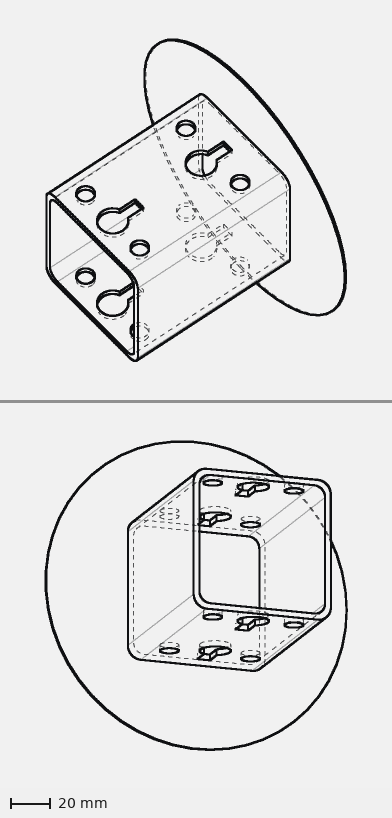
import cadquery as cq

plate_diameter = 160.7
plate_thickness = 1.0

tube_length = 98.5
tube_width = 73.3
wall = 3.0
outer_corner_radius = 6.9
inner_corner_radius = 5.8

front_row_y = 13.3
rear_row_y = 78.2
round_hole_diameter = 9.5
round_hole_spacing = 43.4
keyhole_pitch = 57.2
keyhole_diameter = 15.7
keyhole_slot_width = 6.7
keyhole_reach = 17.2


def rounded_square_bar(width, corner_radius):
    """Bar along Y with rounded lengthwise edges."""
    bar = cq.Workplane("XZ").rect(width, width).extrude(-tube_length)
    return bar.edges("|Y").fillet(corner_radius)


def vertical_cutter(sketch):
    """Extrude a closed XY outline through both horizontal walls."""
    return sketch.extrude(tube_width, both=True)


def keyhole_cutter(y):
    """Round opening with a narrow slot pointing toward the plate."""
    opening = vertical_cutter(cq.Workplane("XY").center(0, y).circle(keyhole_diameter / 2))
    slot_outline = (
        cq.Workplane("XY")
        .center(0, y + keyhole_reach / 2)
        .rect(keyhole_slot_width, keyhole_reach)
    )
    return opening.union(vertical_cutter(slot_outline))


tube = rounded_square_bar(tube_width, outer_corner_radius).cut(
    rounded_square_bar(tube_width - 2 * wall, inner_corner_radius)
)

round_hole_places = [
    (side * round_hole_spacing / 2, y)
    for side in (-1, 1)
    for y in (front_row_y, rear_row_y)
]
tube = tube.cut(
    vertical_cutter(
        cq.Workplane("XY").pushPoints(round_hole_places).circle(round_hole_diameter / 2)
    )
)
for keyhole_y in (front_row_y, front_row_y + keyhole_pitch):
    tube = tube.cut(keyhole_cutter(keyhole_y))

plate = (
    cq.Workplane("XZ", origin=(0, tube_length, 0))
    .circle(plate_diameter / 2)
    .extrude(-plate_thickness)
)

result = tube.union(plate)